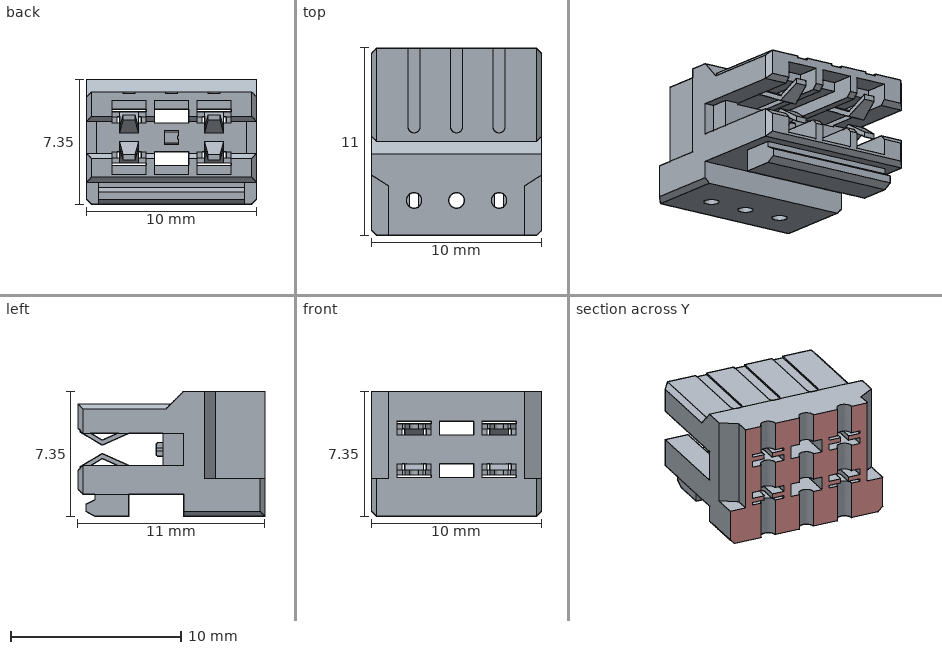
import cadquery as cq


width = 10.0
depth = 11
height = 7.35
half_width = width / 2
edge_chamfer = 0.3

body_depth = 4.8
arm_top = 6.61
arm_bottom = 1.3
row_middle = 3.94
mouth_height = 1.87
mouth_bottom = row_middle - mouth_height / 2
mouth_top = row_middle + mouth_height / 2
slope_run = height - arm_top

relief_inset = 1.0
relief_depth = 2.92
relief_slope_end = 3.55
ledge_height = 2.21

pitch = 2.5
column_centres = (-pitch, 0, pitch)
contact_centres = (-pitch, pitch)
cavity_width = 2.0
cavity_floor = 2.3
cavity_roof = 3.09
tip_pocket_start = 9.46
tip_pocket_floor = 1.76

hole_diameter = 0.9
hole_y = 2.06
groove_width = 0.7
groove_end = 6.03
groove_depth = 0.1

strip_bottom = 2.43
strip_thickness = 0.31
strip_top = strip_bottom + strip_thickness
fork_tip_y = 0.99
fork_taper = 0.33
fork_tip_outer = 0.68
fork_tip_inner = 0.53
wire_slot_width = 0.52
wire_slot_end = 3.3
strip_end = 7.42
ear_width = 0.3
ear_start = 3.85
spring_width = 1.12
spring_apex_y = 9.57
spring_apex_z = 3.7
spring_tip_y = 10.87
spring_tip_z = 2.93
spring_tip_width = 0.7

post_half_width = 4.4
post_end = 6.01
nub_size = 0.82
nub_end = 6.4
nub_chamfer = 0.09
nub_groove_height = 0.18
nub_groove_depth = 0.05

foot_half_width = 4.29
foot_start = 8.01
foot_end = 10.01
foot_nose = 10.53
nose_bottom = 0.29
nose_top = 0.72
nose_root = 0.98


def box(x_range, y_range, z_range):
    """Axis-aligned block between the given limits."""
    size = [high - low for low, high in (x_range, y_range, z_range)]
    start = (x_range[0], y_range[0], z_range[0])
    return cq.Workplane("XY").box(*size, centered=False).translate(start)


def side_extrusion(points, half_length):
    """Extrude a (y, z) outline symmetrically along X."""
    return cq.Workplane("YZ").polyline(points).close().extrude(half_length, both=True)


def upper_row(solid):
    """Mirror a lower-row shape into the upper row."""
    return solid.mirror("XY", (0, 0, row_middle))


def make_plan_envelope():
    """Full-height block with its four vertical corners bevelled."""
    return (
        cq.Workplane("XY")
        .rect(width, depth)
        .extrude(height)
        .edges("|Z")
        .chamfer(edge_chamfer)
        .translate((0, depth / 2, 0))
    )


def make_housing():
    bevel_y = depth - edge_chamfer
    profile = [
        (0, 0),
        (body_depth, 0),
        (body_depth, arm_bottom),
        (bevel_y, arm_bottom),
        (depth, arm_bottom + edge_chamfer),
        (depth, mouth_bottom - edge_chamfer),
        (bevel_y, mouth_bottom),
        (body_depth, mouth_bottom),
        (body_depth, mouth_top),
        (bevel_y, mouth_top),
        (depth, mouth_top + edge_chamfer),
        (depth, arm_top),
        (body_depth + slope_run, arm_top),
        (body_depth, height),
        (0, height),
    ]
    housing = side_extrusion(profile, half_width).intersect(make_plan_envelope())
    housing = housing.faces("<Z").edges("|Y").chamfer(edge_chamfer)
    return housing.cut(make_arm_edge_bevels())


def make_arm_edge_bevels():
    """Wedges removed along both long top edges of the upper arm, up to the slope."""
    bevel = (
        cq.Workplane("XZ", origin=(0, depth, 0))
        .moveTo(half_width, arm_top)
        .lineTo(half_width - edge_chamfer, arm_top)
        .lineTo(half_width, arm_top - edge_chamfer)
        .close()
        .extrude(depth - body_depth)
    )
    slope_material = side_extrusion(
        [
            (body_depth, height),
            (body_depth + height, 0),
            (body_depth, 0),
        ],
        half_width,
    )
    bevel = bevel.cut(slope_material)
    return bevel.union(bevel.mirror("YZ"))


def make_side_reliefs():
    inner_x = half_width - relief_inset
    relief = (
        cq.Workplane("XY", origin=(0, 0, ledge_height))
        .polyline([
            (inner_x, 0),
            (half_width, 0),
            (half_width, relief_slope_end),
            (inner_x, relief_depth),
        ])
        .close()
        .extrude(height - ledge_height)
    )
    return relief.union(relief.mirror("YZ"))


def make_cavity(x):
    """Straight passages of both rows, each with a deeper pocket at the mating end."""
    half = cavity_width / 2
    lower = box((x - half, x + half), (0, depth), (cavity_floor, cavity_roof))
    tip_pocket = box((x - half, x + half), (tip_pocket_start, depth), (tip_pocket_floor, cavity_floor))
    lower = lower.union(tip_pocket)
    return lower.union(upper_row(lower))


def make_probe_hole(x):
    return cq.Workplane("XY").center(x, hole_y).circle(hole_diameter / 2).extrude(height)


def make_groove(x):
    radius = groove_width / 2
    centre_y = groove_end + radius
    return (
        cq.Workplane("XY", origin=(x, 0, arm_top - groove_depth))
        .moveTo(-radius, depth)
        .lineTo(-radius, centre_y)
        .threePointArc((0, groove_end), (radius, centre_y))
        .lineTo(radius, depth)
        .close()
        .extrude(groove_depth)
    )


def make_post():
    """Wide stop at the bottom of the mouth with a small grooved nub."""
    post = box((-post_half_width, post_half_width), (body_depth, post_end), (mouth_bottom, mouth_top))
    nub_half = nub_size / 2
    row = (row_middle - nub_half, row_middle + nub_half)
    nub = box((-nub_half, nub_half), (post_end, nub_end), row).edges("|X and >Y").chamfer(nub_chamfer)
    groove_half = nub_groove_height / 2
    groove_row = (row_middle - groove_half, row_middle + groove_half)
    groove = box((-nub_half, nub_groove_depth - nub_half), (post_end, nub_end), groove_row)
    return post.union(nub.cut(groove))


def make_foot():
    profile = [
        (foot_start, 0),
        (foot_end, 0),
        (foot_nose, nose_bottom),
        (foot_nose, nose_top),
        (foot_end, nose_root),
        (foot_end, arm_bottom),
        (foot_start, arm_bottom),
    ]
    return side_extrusion(profile, foot_half_width)


def make_fork_strip():
    """Flat strip whose wire end is a tapered fork with a round-ended slot."""
    half = cavity_width / 2
    slot_half = wire_slot_width / 2
    taper_end = fork_tip_y + fork_taper
    return (
        cq.Workplane("XY", origin=(0, 0, strip_bottom))
        .moveTo(-half, strip_end)
        .lineTo(-half, taper_end)
        .lineTo(-fork_tip_outer, fork_tip_y)
        .lineTo(-fork_tip_inner, fork_tip_y)
        .lineTo(-slot_half, taper_end)
        .lineTo(-slot_half, wire_slot_end - slot_half)
        .threePointArc((0, wire_slot_end), (slot_half, wire_slot_end - slot_half))
        .lineTo(slot_half, taper_end)
        .lineTo(fork_tip_inner, fork_tip_y)
        .lineTo(fork_tip_outer, fork_tip_y)
        .lineTo(half, taper_end)
        .lineTo(half, strip_end)
        .close()
        .extrude(strip_thickness)
    )


def make_spring():
    """Bent tongue rising from the strip into the mouth and back down."""
    upper_line = [
        (strip_end, strip_top),
        (spring_apex_y, spring_apex_z),
        (spring_tip_y, spring_tip_z),
    ]
    lower_line = [(y, z - strip_thickness) for y, z in reversed(upper_line)]
    spring = side_extrusion(upper_line + lower_line, spring_width / 2)
    plan = (
        cq.Workplane("XY")
        .polyline([
            (-spring_width / 2, strip_end),
            (spring_width / 2, strip_end),
            (spring_width / 2, spring_apex_y),
            (spring_tip_width / 2, spring_tip_y),
            (-spring_tip_width / 2, spring_tip_y),
            (-spring_width / 2, spring_apex_y),
        ])
        .close()
        .extrude(height)
    )
    return spring.intersect(plan)


def make_contact(x):
    half = cavity_width / 2
    contact = make_fork_strip().union(make_spring())
    for inner in (-half, half - ear_width):
        ear = box((inner, inner + ear_width), (ear_start, body_depth), (strip_top, cavity_roof))
        contact = contact.union(ear)
    return contact.translate((x, 0, 0))


housing = make_housing().cut(make_side_reliefs()).union(make_post()).union(make_foot())
for x in column_centres:
    housing = housing.cut(make_cavity(x)).cut(make_probe_hole(x)).cut(make_groove(x))

for x in contact_centres:
    contact = make_contact(x)
    housing = housing.union(contact).union(upper_row(contact))

result = housing